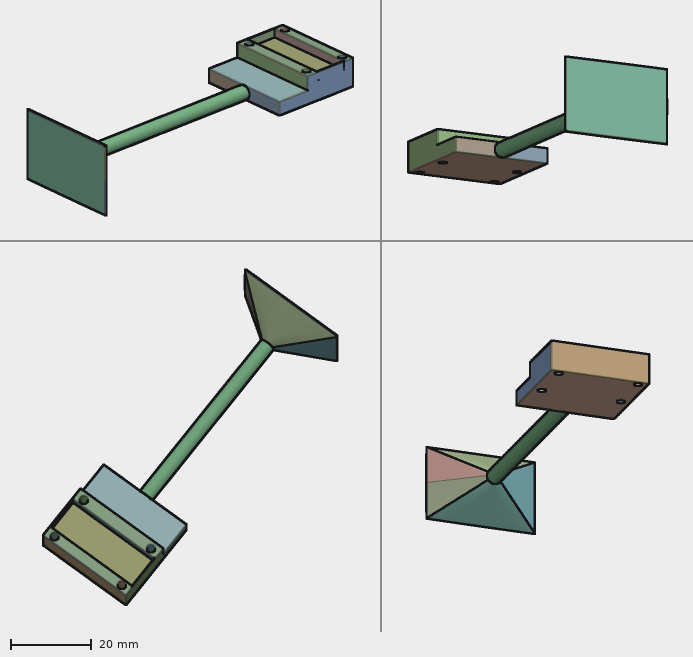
import cadquery as cq
import math

total_length = 85.0
rod_diameter = 4.0
rod_radius = rod_diameter / 2

pad_width = 28.8
pad_height = 19.3
pad_edge_radius = 0.31
flare_length = 10.0
settling_steps = 20

block_width = 26.0
block_length = 25.0
block_height = 8.0
ledge_height = rod_diameter
raised_length = 15.5

pocket_wall = 0.3
pocket_depth = 2.5
pocket_length = 9.0
rear_rib = 3.0

hole_diameter = 2.0
hole_spacing_x = 21.0
hole_spacing_y = 12.0
hole_rear_offset = 1.5

edge_radius = 0.2

block_front = total_length - block_length
block_bottom = -rod_radius
block_top = block_bottom + block_height


def box_between(width, y_start, y_end, z_start, z_end):
    """Box centred on X that fills the given Y and Z ranges."""
    return cq.Workplane("XY", origin=(0, y_start, z_start)).box(
        width, y_end - y_start, z_end - z_start, centered=(True, False, False)
    )


def sharp_size(rounded_size):
    """Side of the pad before its acute edge is rounded.

    An edge of angle a rounded with radius r loses r / tan(a / 2) - r at its tip. The angle depends
    on the sharp side itself, so a few repeated substitutions settle it.
    """
    size = rounded_size
    for _ in range(settling_steps):
        edge_angle = math.atan2(flare_length, size / 2 - rod_radius)
        tip_loss = pad_edge_radius / math.tan(edge_angle / 2) - pad_edge_radius
        size = rounded_size + 2 * tip_loss
    return size


def make_pad():
    """Flare from a rectangular face to the round rod, with a rounded rim."""
    flare = (
        cq.Workplane("XZ")
        .rect(sharp_size(pad_width), sharp_size(pad_height))
        .workplane(offset=-flare_length)
        .circle(rod_radius)
        .loft(combine=True)
    )
    return flare.faces("<Y").edges().fillet(pad_edge_radius)


def make_rod():
    """Round rod from the end of the flare to the block."""
    rod_length = block_front - flare_length
    return cq.Workplane("XZ", origin=(0, flare_length, 0)).circle(rod_radius).extrude(-rod_length)


def edges_in_zone(y_start, y_end, z_level):
    """Selector for edges whose centres lie in a thin zone round the given Y range at one level."""
    return cq.selectors.BoxSelector(
        (-block_width, y_start - edge_radius, z_level - edge_radius),
        (block_width, y_end + edge_radius, z_level + edge_radius),
    )


def make_stepped_body():
    """Low ledge and raised part, rounded everywhere but in the inner corner of the step."""
    ledge_top = block_bottom + ledge_height
    raised_front = total_length - raised_length
    ledge = box_between(block_width, block_front, total_length, block_bottom, ledge_top)
    raised = box_between(block_width, raised_front, total_length, block_bottom, block_top)
    step_corner = edges_in_zone(raised_front, raised_front, ledge_top)
    outer_edges = cq.selectors.SubtractSelector(cq.Selector(), step_corner)
    return ledge.union(raised).edges(outer_edges).fillet(edge_radius)


def make_holes():
    """Four cylinders to cut through the raised part."""
    hole_centre_y = total_length - hole_rear_offset - hole_spacing_y / 2
    return (
        cq.Workplane("XY", origin=(0, hole_centre_y, block_bottom))
        .rarray(hole_spacing_x, hole_spacing_y, 2, 2)
        .circle(hole_diameter / 2)
        .extrude(block_height)
    )


def make_block():
    """Stepped block with a shallow pocket and four through holes."""
    pocket_rear = total_length - rear_rib
    pocket_front = pocket_rear - pocket_length
    pocket_width = block_width - 2 * pocket_wall
    pocket = box_between(
        pocket_width, pocket_front, pocket_rear, block_top - pocket_depth, block_top
    )
    body = make_stepped_body().cut(pocket).cut(make_holes())

    top_face = body.faces(">Z")
    hole_mouths = top_face.edges("%CIRCLE")
    pocket_rims = top_face.edges("|X").edges(edges_in_zone(pocket_front, pocket_rear, block_top))
    return body.newObject(hole_mouths.vals() + pocket_rims.vals()).fillet(edge_radius)


result = make_pad().union(make_rod()).union(make_block())